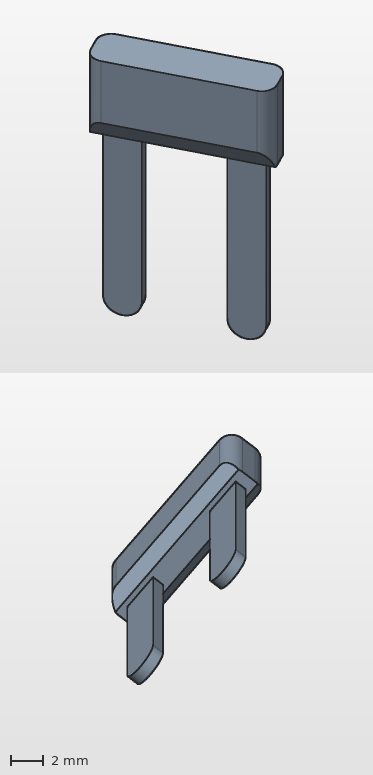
import cadquery as cq

total_height = 19.5
head_length = 12.0
head_depth = 3.0
head_height = 6.0
corner_radius = 1.0

bevel_height = 1.38
bottom_depth = 1.5

blade_width = 2.5
blade_thickness = 0.8
blade_spacing = 8.0

head_bottom = total_height - head_height
blade_radius = blade_width / 2
bridge_middle = head_bottom + head_height / 2
bridge_top = bridge_middle + blade_width / 2


def make_link():
    """Flat link, in one piece, centred on the XZ plane."""
    bridge_length = blade_spacing + blade_width
    link = cq.Workplane("XY").box(bridge_length, blade_thickness, blade_width)
    link = link.translate((0, 0, bridge_middle))
    for side in (-1, 1):
        left = side * blade_spacing / 2 - blade_radius
        right = left + blade_width
        blade = (
            cq.Workplane("XZ")
            .moveTo(left, bridge_top)
            .lineTo(left, blade_radius)
            .threePointArc((left + blade_radius, 0), (right, blade_radius))
            .lineTo(right, bridge_top)
            .close()
            .extrude(blade_thickness / 2, both=True)
        )
        link = link.union(blade)
    return link.clean()


def make_head_profile():
    """Side profile of the head, narrowing at the bottom, along its full length."""
    bevel_top = head_bottom + bevel_height
    return (
        cq.Workplane("YZ")
        .polyline([
            (-bottom_depth / 2, head_bottom),
            (bottom_depth / 2, head_bottom),
            (head_depth / 2, bevel_top),
            (head_depth / 2, total_height),
            (-head_depth / 2, total_height),
            (-head_depth / 2, bevel_top),
        ])
        .close()
        .extrude(head_length / 2, both=True)
    )


def make_head(link):
    """Rounded head with bevels and a cavity that fits the link."""
    block = (
        cq.Workplane("XY", origin=(0, 0, head_bottom))
        .rect(head_length, head_depth)
        .extrude(head_height)
        .edges("|Z")
        .fillet(corner_radius)
    )
    return block.intersect(make_head_profile()).cut(link)


link = make_link()
head = make_head(link)

result = cq.Compound.makeCompound([head.solids().val(), link.solids().val()])